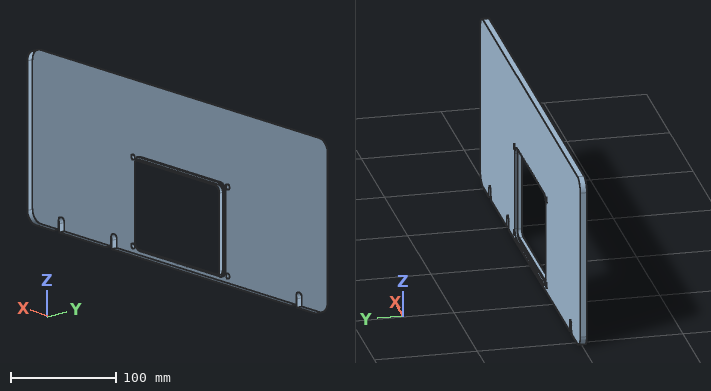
import cadquery as cq

length = 432.0
thickness = 6.5
height = 171.5
corner_radius = 12.0
bottom = -height / 2

window_width = 128.5
window_height = 89.0
window_radius = 6.0
window_x = -0.5
window_z = bottom + 6.0 + window_height / 2

rebate_depth = 2.0
rebate_margin = 2.0

hole_diameter = 5.0
hole_spacing_x = 138.5
hole_spacing_z = 87.5
hole_center_z = bottom + 7.0 + hole_spacing_z / 2

slot_width = 8.0
slot_depth = 13.0
slot_positions = [-174.0, 96.7, 173.5]


def rounded_block(width, block_height, radius, x=0, z=0):
    """Full-thickness block with its four corners rounded about Y."""
    block = cq.Workplane("XY").box(width, thickness, block_height)
    return block.edges("|Y").fillet(radius).translate((x, 0, z))


def window_rebate():
    """Enlarged window outline that enters the back face by the rebate depth."""
    outline = rounded_block(
        window_width + 2 * rebate_margin,
        window_height + 2 * rebate_margin,
        window_radius + rebate_margin,
        window_x,
        window_z,
    )
    return outline.translate((0, thickness - rebate_depth, 0))


def screw_holes():
    """Four through holes at the corners of the window."""
    return (
        cq.Workplane("XZ", origin=(window_x, 0, hole_center_z))
        .rect(hole_spacing_x, hole_spacing_z, forConstruction=True)
        .vertices()
        .circle(hole_diameter / 2)
        .extrude(thickness, both=True)
    )


def slot(x):
    """Through slot rising from the bottom edge to a semicircular top."""
    radius = slot_width / 2
    shoulder_z = bottom + slot_depth - radius
    return (
        cq.Workplane("XZ")
        .moveTo(x - radius, bottom)
        .lineTo(x - radius, shoulder_z)
        .threePointArc((x, bottom + slot_depth), (x + radius, shoulder_z))
        .lineTo(x + radius, bottom)
        .close()
        .extrude(thickness, both=True)
    )


result = rounded_block(length, height, corner_radius)
result = result.cut(rounded_block(window_width, window_height, window_radius, window_x, window_z))
result = result.cut(window_rebate())
result = result.cut(screw_holes())
for slot_x in slot_positions:
    result = result.cut(slot(slot_x))